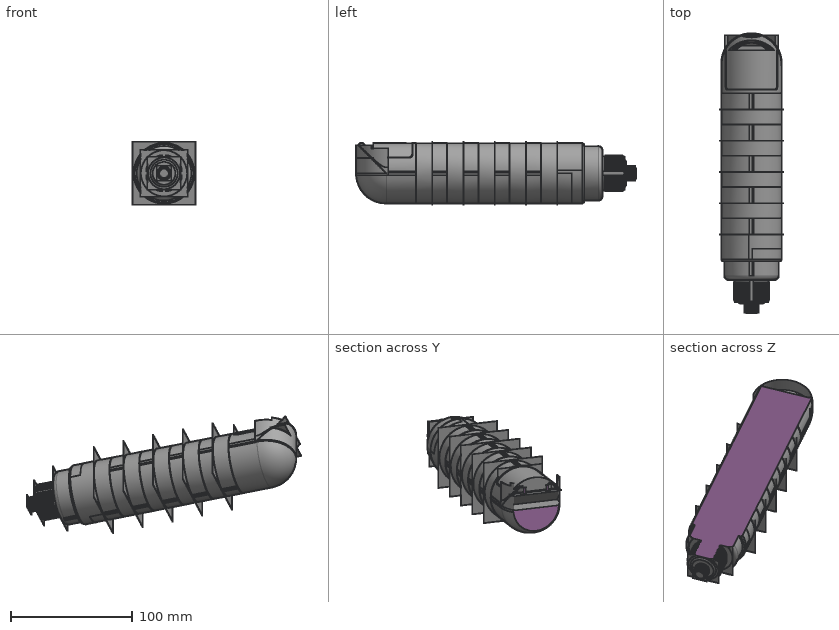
import cadquery as cq
import math

TOTAL_LENGTH = 230.93
BODY_R = 25.0
NOSE_Y = TOTAL_LENGTH - BODY_R
CLEAR = 1.0

PLUG_R = 6.1
PLUG_PITCH = 1.0
PLUG_TIP_R = 3.9
PLUG_TIP_CHAMFER = 0.9
PLUG_SHEET_Y = 0.6
COLLAR_START = 8.1
COLLAR_TIP_R = 9.4
COLLAR_R = 11.2
STEM_START = 9.2
STEM_R = 15.1
STEM_PITCH = 1.5
STEM_CHAMFER = 1.4
STEM_THREAD_START = 10.8
STEM_THREAD_TURNS = 10
THREAD_DEPTH_RATIO = 0.55
PLUG_THREAD_START = 1.2
PLUG_THREAD_TURNS = 6
STEM_FLAT_R = 14.8
STEM_SLOT_R = 13.6
STEM_SLOT_WIDTH = 3.0

BASE_START = 27.7
BASE_R = 22.5
BASE_FILLET = 3.5
SHOULDER_START = 42.8
SHOULDER_END = 44.5
SHOULDER_R = 24.0

FIRST_PLATE = 64.9
SEGMENT_PITCH = 25.75
SEGMENT_COUNT = 5
LENS_LENGTH = 13.5
JOINT_WIDTH = 0.4
JOINT_DEPTH = 0.2
CAP_START = FIRST_PLATE + (SEGMENT_COUNT - 1) * SEGMENT_PITCH + LENS_LENGTH

SEAM_WIDTH = 3.6
SEAM_DEPTH = 0.15
SEAM_STEP_X = 0.5

SHEET = 0.2
BODY_SHEET_SIZE = 52.0
BASE_SHEET_SIZE = 38.8
STEM_SHEET_SIZE = 27.3
PLUG_SHEET_SIZE = 2 * PLUG_R

PANEL_START = 184.1
PANEL_END = 216.7
PANEL_Z = 12.8
PANEL_CORNER = 3.0
PANEL_LINE = 0.5
PANEL_LINE_DEPTH = 0.25
ARCH_WIDTH = 4.0
ARCH_THICKNESS = 1.5
SKIRT_THICKNESS = 0.5
SKIRT_BOTTOM = -1.7
SKIRT_TOP = 20.6
SKIRT_START = 204.4
HIGH_SKIRT_TOP = 23.2
HIGH_SKIRT_START = 217.9
ARCH_CHAMFER = 1.8
TILTED_SHEET_WIDTH = 39.2
TILTED_SHEET_START = 220.5
TILTED_SHEET_END = 229.0
TILTED_SHEET_TOP = 23.4
WINDOW_WIDTH = 9.5
WINDOW_START = 224.0
WINDOW_END = 228.0
SHELF_WIDTH = 44.3
SHELF_END = 229.2
RIM_OUTER_R = 18.4
RIM_INNER_R = 17.0
RIM_TOP = 18.5
PANEL_SHEET_WIDTH = 39.2

RECESS_DEPTH = 0.1
RECESS_SPLIT_Y = 53.2
RECESS_EDGE = 2.4
RECESS_STEP_X = 0.5


def box(x0, x1, y0, y1, z0, z1):
    return cq.Workplane("XY").box(x1 - x0, y1 - y0, z1 - z0, centered=False).translate((x0, y0, z0))


def cylinder(radius, y0, y1):
    return cq.Workplane("XZ", origin=(0, y0, 0)).circle(radius).extrude(y0 - y1)


def along_x(points, width):
    """Prism with a (y, z) outline, centred on x = 0."""
    return cq.Workplane("YZ", origin=(-width / 2, 0, 0)).polyline(points).close().extrude(width)


def tube(outer, inner, y0, y1):
    return cylinder(outer, y0, y1).cut(cylinder(inner, y0, y1))


def thread_points(radius, pitch, start, turns):
    """Profile points of ring-shaped V threads along increasing y."""
    root = radius - THREAD_DEPTH_RATIO * pitch
    points = []
    for turn in range(turns):
        y = start + turn * pitch
        points += [(root, y), (radius, y + pitch / 2)]
    points.append((root, start + turns * pitch))
    return points


def turned_body():
    plug_root = PLUG_R - THREAD_DEPTH_RATIO * PLUG_PITCH
    stem_root = STEM_R - THREAD_DEPTH_RATIO * STEM_PITCH
    profile = (
        cq.Workplane("XY")
        .moveTo(0, 0)
        .lineTo(PLUG_TIP_R, 0)
        .lineTo(plug_root, PLUG_TIP_CHAMFER)
    )
    for point in thread_points(PLUG_R, PLUG_PITCH, PLUG_THREAD_START, PLUG_THREAD_TURNS):
        profile = profile.lineTo(*point)
    profile = (
        profile.lineTo(plug_root, COLLAR_START)
        .lineTo(COLLAR_TIP_R, COLLAR_START)
        .lineTo(COLLAR_R, STEM_START)
        .lineTo(stem_root - STEM_CHAMFER, STEM_START)
        .lineTo(stem_root, STEM_START + STEM_CHAMFER)
    )
    for point in thread_points(STEM_R, STEM_PITCH, STEM_THREAD_START, STEM_THREAD_TURNS):
        profile = profile.lineTo(*point)
    return (
        profile.lineTo(stem_root, BASE_START)
        .lineTo(BASE_R - BASE_FILLET, BASE_START)
        .radiusArc((BASE_R, BASE_START + BASE_FILLET), -BASE_FILLET)
        .lineTo(BASE_R, SHOULDER_START)
        .lineTo(SHOULDER_R, SHOULDER_START)
        .lineTo(BODY_R, SHOULDER_END)
        .lineTo(BODY_R, NOSE_Y)
        .lineTo(0, NOSE_Y)
        .close()
        .revolve(360, (0, 0, 0), (0, 1, 0))
    )


def around(solid, count):
    """Copies of a solid evenly turned about the Y axis."""
    turned = [solid.rotate((0, 0, 0), (0, 1, 0), 360 * i / count) for i in range(count)]
    copies = turned[0]
    for copy in turned[1:]:
        copies = copies.union(copy)
    return copies


def stem_slots():
    half = STEM_SLOT_WIDTH / 2
    flat_half = math.sqrt(STEM_R**2 - STEM_FLAT_R**2) + CLEAR
    flat = box(-flat_half, flat_half, STEM_START, BASE_START, STEM_FLAT_R, BODY_R)
    slot = box(-half, half, STEM_START, BASE_START, STEM_SLOT_R, BODY_R)
    return around(flat.union(slot), 4)


def joint_groove(y):
    return tube(BODY_R + CLEAR, BODY_R - JOINT_DEPTH, y - JOINT_WIDTH / 2, y + JOINT_WIDTH / 2)


def seam(y0, y1, radius=BODY_R):
    """Stepped shallow channels along the body on two opposite sides (+Z and -Z)."""
    ring = tube(radius + CLEAR, radius - SEAM_DEPTH, y0, y1)
    deep_ring = tube(radius + CLEAR, radius - 2 * SEAM_DEPTH, y0, y1)
    half = SEAM_WIDTH / 2
    reach = radius + 2 * CLEAR
    shallow = ring.intersect(box(-half, SEAM_STEP_X, y0, y1, 0, reach))
    deep = deep_ring.intersect(box(SEAM_STEP_X, half, y0, y1, 0, reach))
    return around(shallow.union(deep), 2)


def quarter_turn(solid):
    return solid.rotate((0, 0, 0), (0, 1, 0), 90)


def square_sheet(size, y):
    half = size / 2
    return box(-half, half, y, y + SHEET, -half, half)


def panel_line():
    """Groove outlining the flush panel on the top of the cap."""
    reach = BODY_R + CLEAR

    def outline(inset):
        return (
            box(-reach, reach, PANEL_START + inset, PANEL_END + CLEAR, PANEL_Z + inset, reach)
            .edges("|X and <Y and <Z")
            .fillet(PANEL_CORNER - inset)
        )

    skin = tube(reach, BODY_R - PANEL_LINE_DEPTH, PANEL_START, PANEL_END)
    return skin.intersect(outline(0).cut(outline(PANEL_LINE)))


def nose():
    """Rounded lower half, block up to the panel end and arch above."""
    ball = cq.Workplane("XY").sphere(BODY_R).translate((0, NOSE_Y, 0))
    lower = ball.intersect(box(-BODY_R, BODY_R, NOSE_Y, TOTAL_LENGTH, -BODY_R, 0))
    wedge = along_x([
        (NOSE_Y, 0),
        (PANEL_END, PANEL_END - NOSE_Y),
        (PANEL_END, BODY_R),
        (NOSE_Y, BODY_R),
    ], 2 * BODY_R)
    block = cylinder(BODY_R, NOSE_Y, TOTAL_LENGTH).intersect(wedge)
    return lower.union(block).union(arch())


def arch():
    """Band of the body skin along the 45 degree mitre through the nose centre."""
    chamfer_z = BODY_R - ARCH_CHAMFER
    band = along_x([
        (NOSE_Y, 0),
        (NOSE_Y + chamfer_z, chamfer_z),
        (NOSE_Y + chamfer_z - ARCH_CHAMFER, BODY_R),
        (NOSE_Y + BODY_R - ARCH_WIDTH - ARCH_CHAMFER, BODY_R),
        (NOSE_Y, ARCH_WIDTH + ARCH_CHAMFER),
    ], 2 * BODY_R)
    return tube(BODY_R, BODY_R - ARCH_THICKNESS, NOSE_Y, TOTAL_LENGTH).intersect(band)


def nose_ring(outer, inner, start, bottom, top):
    """Upright ring about the nose centre, kept beyond y = start."""
    ring = (
        cq.Workplane("XY", origin=(0, NOSE_Y, bottom))
        .circle(outer)
        .circle(inner)
        .extrude(top - bottom)
    )
    return ring.intersect(box(-outer, outer, start, NOSE_Y + outer, bottom, top))


def skirt():
    """Thin upright wall wrapped round the nose, higher towards the tip."""
    inner = BODY_R - SKIRT_THICKNESS
    low = nose_ring(BODY_R, inner, SKIRT_START, SKIRT_BOTTOM, SKIRT_TOP)
    high = nose_ring(BODY_R, inner, HIGH_SKIRT_START, SKIRT_BOTTOM, HIGH_SKIRT_TOP)
    return low.union(high)


def shelf():
    """Level sheet in front of the panel."""
    half = SHELF_WIDTH / 2
    return box(-half, half, PANEL_END - SHEET, SHELF_END, PANEL_Z - SHEET, PANEL_Z)


def tilted_sheet():
    """Sheet at 45 degrees behind the arch, with a rectangular window."""
    bottom = TILTED_SHEET_TOP - (TILTED_SHEET_END - TILTED_SHEET_START)
    sheet = along_x([
        (TILTED_SHEET_START, bottom),
        (TILTED_SHEET_END, TILTED_SHEET_TOP),
        (TILTED_SHEET_END, TILTED_SHEET_TOP - SHEET),
        (TILTED_SHEET_START, bottom - SHEET),
    ], TILTED_SHEET_WIDTH)
    half = WINDOW_WIDTH / 2
    return sheet.cut(box(-half, half, WINDOW_START, WINDOW_END, 0, BODY_R))


def panel_sheet():
    """Upright sheet at the inner end of the panel; its upper corners stand clear of the body."""
    half = PANEL_SHEET_WIDTH / 2
    return box(-half, half, PANEL_START, PANEL_START + SHEET, PANEL_Z, BODY_R)


def body_ring_recesses():
    """Shallow stepped areas on the ring between the base and the first lens."""
    reach = BODY_R + CLEAR
    skin = tube(reach, BODY_R - RECESS_DEPTH, SHOULDER_END, FIRST_PLATE)
    corner = box(-reach, -RECESS_EDGE, SHOULDER_END, FIRST_PLATE, RECESS_EDGE, reach)
    near_base = box(RECESS_STEP_X, reach, SHOULDER_END, RECESS_SPLIT_Y, 0, reach)
    near_lens = box(-reach, 0, RECESS_SPLIT_Y, FIRST_PLATE, -reach, 0)
    return skin.intersect(corner.union(near_base).union(near_lens))


result = turned_body().cut(stem_slots()).union(nose())

for index in range(SEGMENT_COUNT):
    plate_y = FIRST_PLATE + index * SEGMENT_PITCH
    joint_y = plate_y + LENS_LENGTH
    result = result.cut(joint_groove(joint_y)).cut(seam(plate_y, joint_y))
    if index > 0:
        result = result.cut(quarter_turn(seam(joint_y - SEGMENT_PITCH, plate_y)))
    result = result.union(square_sheet(BODY_SHEET_SIZE, plate_y))

result = result.cut(quarter_turn(seam(CAP_START, SKIRT_START)))
result = result.cut(seam(BASE_START + BASE_FILLET, SHOULDER_START, BASE_R))
result = result.cut(panel_line()).cut(body_ring_recesses())

result = result.union(square_sheet(BASE_SHEET_SIZE, BASE_START - SHEET))
result = result.union(square_sheet(STEM_SHEET_SIZE, STEM_START))
result = result.union(square_sheet(PLUG_SHEET_SIZE, PLUG_SHEET_Y))

result = result.union(skirt())
result = result.union(shelf()).union(tilted_sheet()).union(panel_sheet())
rim = nose_ring(RIM_OUTER_R, RIM_INNER_R, PANEL_END, PANEL_Z - SHEET, RIM_TOP)
result = result.union(rim)